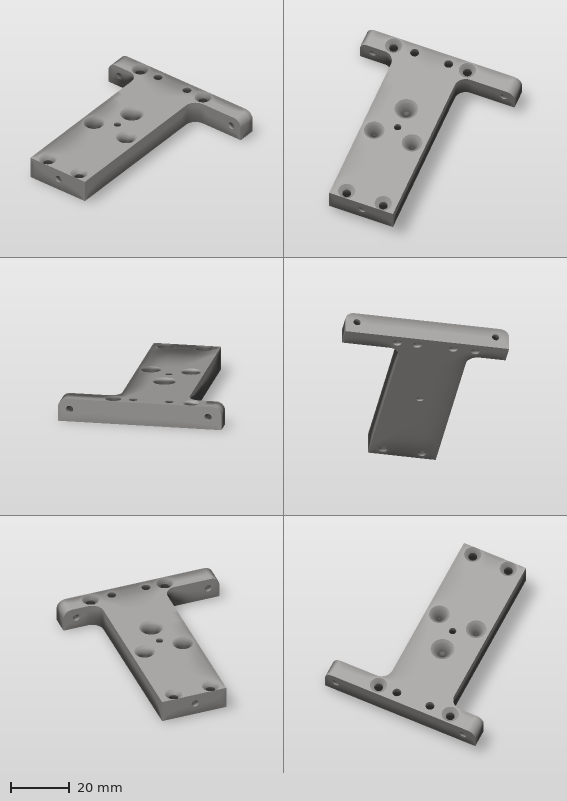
import cadquery as cq

length = 67.15
thickness = 8.0
bar_width = 56.5
bar_depth = 6.65
bar_left = -24.6
bar_right = bar_left + bar_width
bar_front = length - bar_depth
stem_width = 23.3
inner_fillet = 4.0
end_round = 3.0

screw_diameter = 3.0
screw_sink_diameter = 5.85
bar_hole_y = length - 3.4
bar_screw_xs = (-13.55, 13.35)
bar_plain_xs = (-5.9, 6.5)
stem_screw_xs = (-6.4, 7.0)
stem_screw_y = 2.9
small_diameter = 2.5
centre_hole_y = 33.45

seat_depth = 3.0
large_seat_diameter = 8.0
large_seat_y = 41.4
small_seat_diameter = 7.0
small_seat_x = 6.9
small_seat_y = 29.35

cross_hole_z = 4.3
bar_cross_xs = (-19.95, 27.9)
end_hole_x = 0.35
end_hole_depth = 10.1


def vertical_hole(x, y, diameter):
    return cq.Workplane("XY").center(x, y).circle(diameter / 2).extrude(thickness)


def cone_cut(x, y, top_diameter, floor_diameter):
    """90 degree cone opening upward at the top face."""
    depth = (top_diameter - floor_diameter) / 2
    cone = cq.Solid.makeCone(floor_diameter / 2, top_diameter / 2, depth)
    return cone.translate(cq.Vector(x, y, thickness - depth))


def cross_hole(x, start_y, depth):
    return cq.Workplane(
        cq.Solid.makeCylinder(
            small_diameter / 2, depth, cq.Vector(x, start_y, cross_hole_z), cq.Vector(0, 1, 0)
        )
    )


def plate():
    stem = cq.Workplane("XY").box(stem_width, length, thickness, centered=(True, False, False))
    bar = (
        cq.Workplane("XY", origin=(bar_left, bar_front, 0))
        .box(bar_width, bar_depth, thickness, centered=False)
        .faces(">Z").edges("|Y").fillet(end_round)
    )
    inner_corners = cq.selectors.BoxSelector(
        (-stem_width / 2 - 0.7, bar_front - 0.7, 0),
        (stem_width / 2 + 0.7, bar_front + 0.7, thickness),
    )
    return stem.union(bar).edges("|Z").edges(inner_corners).fillet(inner_fillet)


result = plate()

screw_points = [(x, bar_hole_y) for x in bar_screw_xs]
screw_points += [(x, stem_screw_y) for x in stem_screw_xs]
for x, y in screw_points:
    result = result.cut(vertical_hole(x, y, screw_diameter))
    result = result.cut(cone_cut(x, y, screw_sink_diameter, screw_diameter))

for x in bar_plain_xs:
    result = result.cut(vertical_hole(x, bar_hole_y, screw_diameter))
result = result.cut(vertical_hole(0, centre_hole_y, small_diameter))

seats = (
    (0, large_seat_y, large_seat_diameter),
    (-small_seat_x, small_seat_y, small_seat_diameter),
    (small_seat_x, small_seat_y, small_seat_diameter),
)
for x, y, diameter in seats:
    result = result.cut(cone_cut(x, y, diameter, diameter - 2 * seat_depth))

for x in bar_cross_xs:
    result = result.cut(cross_hole(x, bar_front, bar_depth))
result = result.cut(cross_hole(end_hole_x, 0, end_hole_depth))